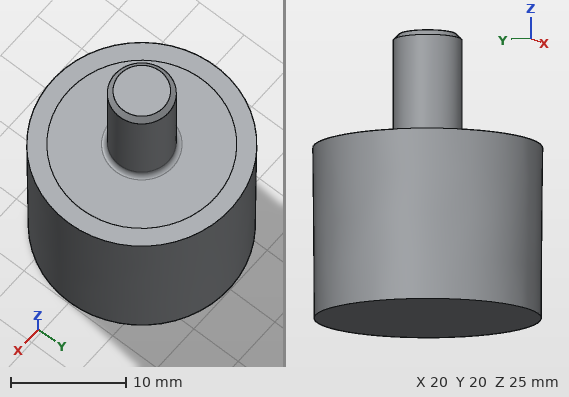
import cadquery as cq

TOP_RADIUS = 10.0
BOTTOM_RADIUS = 9.88
BODY_HEIGHT = 15.0

PLATE_RADIUS = 8.25
PLATE_THICKNESS = 2.0

STUD_RADIUS = 3.0
STUD_LENGTH = 10.0
STUD_CHAMFER = 0.5
ROOT_FILLET = 0.5

PLATE_BOTTOM = BODY_HEIGHT - PLATE_THICKNESS
STUD_TOP = BODY_HEIGHT + STUD_LENGTH


def make_rubber_body():
    """Tapered cylinder with a round recess in its top face for the plate."""
    body = (
        cq.Workplane("XZ")
        .lineTo(BOTTOM_RADIUS, 0)
        .lineTo(TOP_RADIUS, BODY_HEIGHT)
        .lineTo(0, BODY_HEIGHT)
        .close()
        .revolve(360, (0, 0, 0), (0, 1, 0))
    )
    recess = cq.Workplane("XY", origin=(0, 0, PLATE_BOTTOM)).circle(PLATE_RADIUS).extrude(PLATE_THICKNESS)
    return body.cut(recess)


def make_plate_with_stud():
    """Round plate flush with the body top, carrying a chamfered stud with a filleted root."""
    return (
        cq.Workplane("XZ")
        .moveTo(0, PLATE_BOTTOM)
        .lineTo(PLATE_RADIUS, PLATE_BOTTOM)
        .lineTo(PLATE_RADIUS, BODY_HEIGHT)
        .lineTo(STUD_RADIUS + ROOT_FILLET, BODY_HEIGHT)
        .radiusArc((STUD_RADIUS, BODY_HEIGHT + ROOT_FILLET), ROOT_FILLET)
        .lineTo(STUD_RADIUS, STUD_TOP - STUD_CHAMFER)
        .lineTo(STUD_RADIUS - STUD_CHAMFER, STUD_TOP)
        .lineTo(0, STUD_TOP)
        .close()
        .revolve(360, (0, 0, 0), (0, 1, 0))
    )


rubber_body = make_rubber_body()
plate_with_stud = make_plate_with_stud()

result = cq.Compound.makeCompound([rubber_body.val(), plate_with_stud.val()])